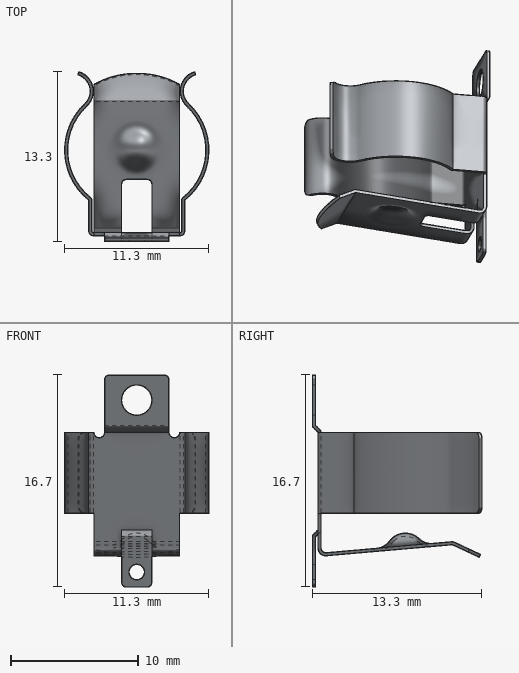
import cadquery as cq
import math

sheet = 0.25

plate_width = 6.73
plate_top = 12.16

lug_step = 0.43
lug_corner = 0.37
mount_width = 5.06
mount_top = 16.66
mount_hole_diameter = 2.37
mount_hole_z = 14.7
tail_width = 2.37
tail_root_z = 4.5
tail_hole_diameter = 1.2
tail_hole_z = 1.18

arm_bottom = 5.8
arm_bend_radius = 0.42
clip_width = 11.35
grip_radius = 5.0
grip_y = 6.73
mouth_width = 6.83
lip_radius = 1.35
lip_end_y = 12.9
lip_corner = 0.6

leaf_angle = 5.0
leaf_heel_z = 2.4
leaf_bend_radius = 0.62
leaf_crest_y = 10.61
leaf_lip_angle = 25.0
leaf_lip_length = 2.4
leaf_end_radius = 6.33
window_end_y = 4.43

bead_y = 6.81
bead_height = 1.0
bead_radius = 2.2
dome_radius = 1.17


def centred_box(width, y_range, z_range):
    """Box centred on X = 0 between the given Y and Z limits."""
    depth = y_range[1] - y_range[0]
    height = z_range[1] - z_range[0]
    box = cq.Workplane().box(width, depth, height, centered=(True, False, False))
    return box.translate((0, y_range[0], z_range[0]))


def side_profile(points, width):
    """Extrude a (Y, Z) outline symmetrically about X = 0."""
    return cq.Workplane("YZ").polyline(points).close().extrude(width / 2, both=True)


def round_bend(body, point, radius):
    """Round the bend edge that runs along X through a (Y, Z) point."""
    nearest = cq.selectors.NearestToPointSelector((0, *point))
    return body.edges("|X").edges(nearest).fillet(radius)


def offset_lug(root_z, end_z, width, hole_z, hole_diameter):
    """Lug that steps back from the plate at 45 degrees, then runs straight to end_z."""
    way = math.copysign(1, end_z - root_z)
    half_bend = math.radians(45 / 2)
    miter = way * sheet * math.tan(half_bend)
    step_z = root_z + way * lug_step
    outer_bend = (-lug_step, step_z)
    inner_bend = (sheet, root_z + miter)
    foot_z = root_z - way * sheet
    outline = [
        (0, foot_z),
        (0, root_z),
        outer_bend,
        (-lug_step, end_z),
        (sheet - lug_step, end_z),
        (sheet - lug_step, step_z + miter),
        inner_bend,
        (sheet, foot_z),
    ]
    lug = side_profile(outline, width)
    lug = round_bend(lug, outer_bend, sheet)
    lug = round_bend(lug, inner_bend, sheet)
    end_face = ">Z" if way > 0 else "<Z"
    lug = lug.faces(end_face).edges("|Y").fillet(lug_corner)
    hole = cq.Workplane("XZ").center(0, hole_z).circle(hole_diameter / 2).extrude(lug_step)
    return lug.cut(hole)


def side_arm():
    """Arm on the +X side: bend, straight leg, gripping arc and flared lip."""
    bend_x = plate_width / 2
    leg_x = bend_x + arm_bend_radius
    inner_leg_x = leg_x - sheet
    grip_x = clip_width / 2 - grip_radius
    inner_grip = grip_radius - sheet
    outer_lip = lip_radius + sheet

    def on_grip(radius, angle):
        return (grip_x + radius * math.cos(angle), grip_y + radius * math.sin(angle))

    lip_x = mouth_width / 2 + outer_lip
    join = math.acos((lip_x - grip_x) / (grip_radius + lip_radius))
    lip_y = on_grip(grip_radius + lip_radius, join)[1]
    lip_end = math.pi - math.asin((lip_end_y - lip_y) / outer_lip)
    lip_middle = (join + math.pi + lip_end) / 2

    def on_lip(radius, angle):
        return (lip_x + radius * math.cos(angle), lip_y + radius * math.sin(angle))

    elbow = on_grip(grip_radius, -math.acos((leg_x - grip_x) / grip_radius))
    inner_elbow = on_grip(inner_grip, -math.acos((inner_leg_x - grip_x) / inner_grip))
    diagonal = math.radians(-45)

    def on_bend(radius):
        return (
            bend_x + radius * math.cos(diagonal),
            arm_bend_radius + radius * math.sin(diagonal),
        )

    arm = (
        cq.Workplane()
        .workplane(offset=arm_bottom)
        .moveTo(bend_x, 0)
        .threePointArc(on_bend(arm_bend_radius), (leg_x, arm_bend_radius))
        .lineTo(*elbow)
        .threePointArc(on_grip(grip_radius, 0), on_grip(grip_radius, join))
        .threePointArc(on_lip(lip_radius, lip_middle), on_lip(lip_radius, lip_end))
        .lineTo(*on_lip(outer_lip, lip_end))
        .threePointArc(on_lip(outer_lip, lip_middle), on_grip(inner_grip, join))
        .threePointArc(on_grip(inner_grip, 0), inner_elbow)
        .lineTo(inner_leg_x, arm_bend_radius)
        .threePointArc(on_bend(arm_bend_radius - sheet), (bend_x, sheet))
        .close()
        .extrude(plate_top - arm_bottom)
    )
    elbow_edge = cq.selectors.NearestToPointSelector((*inner_elbow, (arm_bottom + plate_top) / 2))
    arm = arm.edges("|Z").edges(elbow_edge).fillet(sheet)
    for z in (arm_bottom, plate_top):
        corner = cq.selectors.NearestToPointSelector((*on_lip(lip_radius + sheet / 2, lip_end), z))
        arm = arm.edges(corner).fillet(lip_corner)
    return arm


def leaf_underside(y):
    """Height of the sloping leaf's lower face at a given Y."""
    return leaf_heel_z + y * math.tan(math.radians(leaf_angle))


def plate_and_leaf():
    """Back plate and spring leaf, bent from one strip."""
    slope = math.radians(leaf_angle)
    fall = math.radians(leaf_lip_angle)
    rise = sheet / math.cos(slope)
    crest = (leaf_crest_y, leaf_underside(leaf_crest_y) + rise)
    lip_end = (
        crest[0] + leaf_lip_length * math.cos(fall),
        crest[1] - leaf_lip_length * math.sin(fall),
    )
    lip_end_under = (lip_end[0] - sheet * math.sin(fall), lip_end[1] - sheet * math.cos(fall))
    miter = sheet / math.cos((slope + fall) / 2)
    tilt = (fall - slope) / 2
    crest_under = (crest[0] - miter * math.sin(tilt), crest[1] - miter * math.cos(tilt))
    heel = (0, leaf_heel_z)
    inner_heel = (sheet, leaf_underside(sheet) + rise)
    outline = [
        (0, plate_top),
        heel,
        crest_under,
        lip_end_under,
        lip_end,
        crest,
        inner_heel,
        (sheet, plate_top),
    ]
    strip = side_profile(outline, plate_width)
    strip = round_bend(strip, heel, leaf_bend_radius)
    strip = round_bend(strip, inner_heel, leaf_bend_radius - sheet)
    strip = round_bend(strip, crest, sheet)

    lip_plane = cq.Plane(
        origin=(0, *lip_end),
        xDir=(1, 0, 0),
        normal=(0, math.sin(fall), math.cos(fall)),
    )
    end_disc = (
        cq.Workplane(lip_plane)
        .center(0, -leaf_end_radius)
        .circle(leaf_end_radius)
        .extrude(2 * sheet, both=True)
    )
    lip_block = centred_box(plate_width, (crest[0], lip_end[0]), (0, crest[1]))
    strip = strip.cut(lip_block.cut(end_disc))

    relief_radius = (plate_width - mount_width) / 4
    relief_x = mount_width / 2 + relief_radius
    reliefs = (
        cq.Workplane("XZ")
        .pushPoints([(-relief_x, plate_top), (relief_x, plate_top)])
        .circle(relief_radius)
        .extrude(-sheet)
    )

    window = centred_box(tail_width, (0, window_end_y), (0, tail_root_z))
    window = window.faces(">Y").edges("|Z").fillet(lug_corner)
    return strip.cut(reliefs).cut(window)


def press_bead(body):
    """Replace a disc of the leaf with a hollow bead of the same sheet thickness."""
    slope = math.radians(leaf_angle)
    lean = 2 * math.atan(bead_height / bead_radius)
    crown = dome_radius / math.sin(lean)
    flank = (bead_radius - dome_radius) / math.sin(lean)
    crown_z = bead_height - crown

    def on_crown(radius, angle):
        return (radius * math.sin(angle), crown_z + radius * math.cos(angle))

    def on_flank(radius, angle):
        return (bead_radius - radius * math.sin(angle), flank - radius * math.cos(angle))

    leaf_top = leaf_underside(bead_y) + sheet / math.cos(slope)
    bead_plane = cq.Plane(
        origin=(0, bead_y, leaf_top),
        xDir=(1, 0, 0),
        normal=(0, -math.sin(slope), math.cos(slope)),
    )
    section_plane = cq.Plane(
        origin=(0, bead_y, leaf_top),
        xDir=(1, 0, 0),
        normal=(0, -math.cos(slope), -math.sin(slope)),
    )
    inner_crown = crown - sheet
    inner_flank = flank + sheet
    bead = (
        cq.Workplane(section_plane)
        .moveTo(*on_crown(crown, 0))
        .threePointArc(on_crown(crown, lean / 2), on_crown(crown, lean))
        .threePointArc(on_flank(flank, lean / 2), on_flank(flank, 0))
        .lineTo(*on_flank(inner_flank, 0))
        .threePointArc(on_flank(inner_flank, lean / 2), on_crown(inner_crown, lean))
        .threePointArc(on_crown(inner_crown, lean / 2), on_crown(inner_crown, 0))
        .close()
        .revolve(360, (0, 0), (0, 1))
    )
    disc = cq.Workplane(bead_plane).circle(bead_radius).extrude(sheet, both=True)
    return body.cut(disc).union(bead)


mounting_lug = offset_lug(plate_top, mount_top, mount_width, mount_hole_z, mount_hole_diameter)
solder_tail = offset_lug(tail_root_z, 0, tail_width, tail_hole_z, tail_hole_diameter)
right_arm = side_arm()
left_arm = right_arm.mirror("YZ")

result = press_bead(plate_and_leaf())
for piece in (mounting_lug, solder_tail, right_arm, left_arm):
    result = result.union(piece)